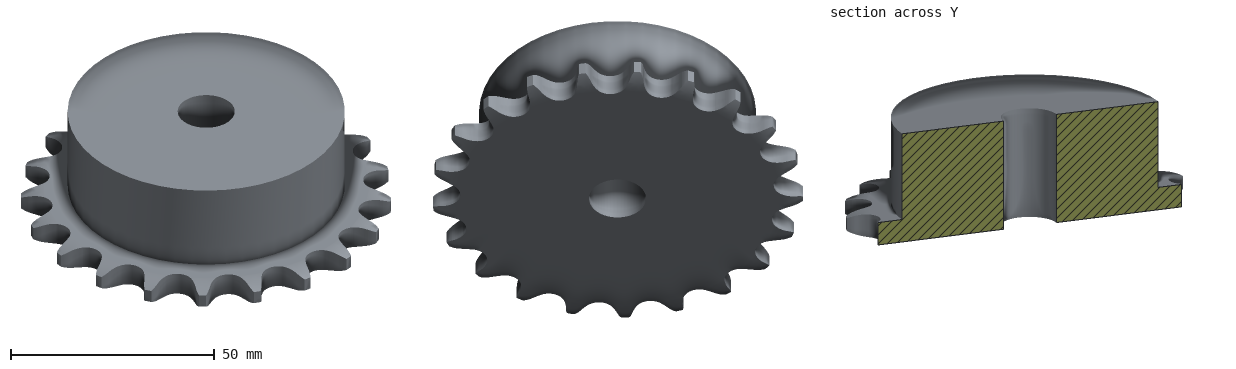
import math

import cadquery as cq

chain_pitch = 12.7
roller_diameter = 7.92
tooth_count = 21
tip_diameter = 91.0
seating_allowance = 0.0381
first_gap_angle = 90.0
tip_clearance = 0.5

plate_thickness = 5.9
bevel_depth = 1.3
bevel_radius = 13.0

hub_diameter = 68.0
bore_diameter = 14.0
total_height = 28.0

tip_radius = tip_diameter / 2
pitch_angle = 360.0 / tooth_count
pitch_radius = chain_pitch / (2 * math.sin(math.pi / tooth_count))

working_arm = 0.8 * roller_diameter
topping_arm = 1.4 * roller_diameter
seating_radius = 0.5025 * roller_diameter + seating_allowance
working_radius = seating_radius + working_arm
seating_half_angle = 55.0 - 60.0 / tooth_count
working_angle = 18.0 - 56.0 / tooth_count
topping_angle = 17.0 - 64.0 / tooth_count
flank_length = topping_arm * math.sin(math.radians(topping_angle)) - working_arm * math.sin(
    math.radians(working_angle)
)
topping_radius = (
    topping_arm * math.cos(math.radians(topping_angle))
    + working_arm * math.cos(math.radians(working_angle))
    - working_radius
)


def bevelled_plate():
    """Disc whose rim is rounded off on both faces by large tangent arcs."""
    bevel_width = math.sqrt(2 * bevel_radius * bevel_depth - bevel_depth**2)
    face_radius = tip_radius - bevel_width

    half_turn = math.asin(bevel_width / bevel_radius) / 2
    mid_radius = face_radius + bevel_radius * math.sin(half_turn)
    mid_depth = bevel_radius * (1 - math.cos(half_turn))

    return (
        cq.Workplane("XZ")
        .lineTo(face_radius, 0)
        .threePointArc((mid_radius, mid_depth), (tip_radius, bevel_depth))
        .lineTo(tip_radius, plate_thickness - bevel_depth)
        .threePointArc((mid_radius, plate_thickness - mid_depth), (face_radius, plate_thickness))
        .lineTo(0, plate_thickness)
        .close()
        .revolve(360, (0, 0, 0), (0, 1, 0))
    )


def along(start, angle, length):
    """Point at a distance from start, in the direction of angle (degrees from +X)."""
    return (
        start[0] + length * math.cos(math.radians(angle)),
        start[1] + length * math.sin(math.radians(angle)),
    )


def mirrored(point):
    return (point[0], -point[1])


def tooth_gap():
    """Cutter for the gap on +X: roller seat, working curve, straight flank and topping curve.

    Each stretch of the profile starts tangent to the one before it.
    """
    seat_centre = (pitch_radius, 0)
    seat_bottom = along(seat_centre, 180, seating_radius)
    seat_end_direction = 180 - seating_half_angle
    seat_end = along(seat_centre, seat_end_direction, seating_radius)

    working_centre = along(seat_end, seat_end_direction + 180, working_radius)
    working_end_direction = seat_end_direction - working_angle
    working_mid = along(working_centre, seat_end_direction - working_angle / 2, working_radius)
    working_end = along(working_centre, working_end_direction, working_radius)

    flank_end = along(working_end, working_end_direction - 90, flank_length)

    topping_centre = along(flank_end, working_end_direction, topping_radius)
    outer_x = tip_radius + tip_clearance
    topping_start_direction = working_end_direction - 180
    topping_end_direction = -math.degrees(math.acos((outer_x - topping_centre[0]) / topping_radius))
    topping_mid_direction = (topping_start_direction + topping_end_direction) / 2
    topping_mid = along(topping_centre, topping_mid_direction, topping_radius)
    topping_end = along(topping_centre, topping_end_direction, topping_radius)

    return (
        cq.Workplane("XY")
        .moveTo(*mirrored(topping_end))
        .threePointArc(mirrored(topping_mid), mirrored(flank_end))
        .lineTo(*mirrored(working_end))
        .threePointArc(mirrored(working_mid), mirrored(seat_end))
        .threePointArc(seat_bottom, seat_end)
        .threePointArc(working_mid, working_end)
        .lineTo(*flank_end)
        .threePointArc(topping_mid, topping_end)
        .close()
        .extrude(plate_thickness)
    )


def toothed_plate():
    plate = bevelled_plate()
    gap = tooth_gap()
    for index in range(tooth_count):
        angle = first_gap_angle + index * pitch_angle
        plate = plate.cut(gap.rotate((0, 0, 0), (0, 0, 1), angle))
    return plate


hub = cq.Workplane("XY").circle(hub_diameter / 2).extrude(total_height)
bore = cq.Workplane("XY").circle(bore_diameter / 2).extrude(total_height)

result = toothed_plate().union(hub).cut(bore)